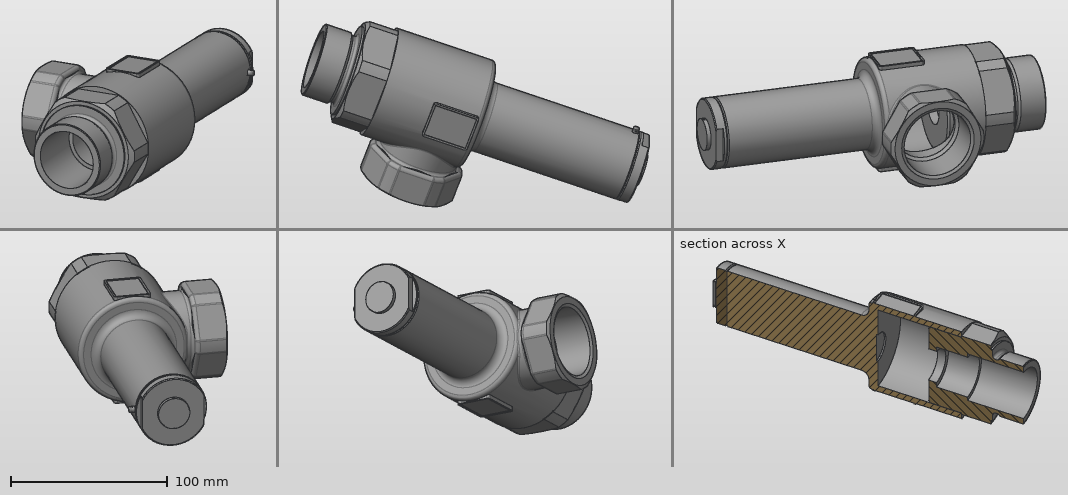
import cadquery as cq
import math


inlet_end_y = -85.0
thread_start_y = -68.0
collar_end_y = -62.8
hex_end_y = -61.5
joint_y = -40.5
nozzle_top_y = -16.5
chamber_top_y = 19.7
shoulder_y = 26.5
cap_joint_y = 128.5
cap_top_y = 135.9
boss_top_y = inlet_end_y + 223.5

body_radius = 36.0
shoulder_round = 3.0
tube_radius = 23.0
tube_fillet = 5.1
joint_chamfer = 0.78
chamber_radius = 31.0
chamber_recess_radius = 10.7
chamber_recess_depth = 1.1

outlet_face_x = -61.0
outlet_hex_length = 21.2
outlet_hex_flats = 58.0
outlet_corner_radius = 31.3
outlet_corner_blend = 2.5
outlet_rear_round = 2.7
outlet_chamfer_radius = 28.8
outlet_chamfer_depth = 1.3
neck_radius = 26.0
neck_cove = 2.0
neck_fillet = 1.1
outlet_bore_radius = 22.4
outlet_bore_depth = 25.5
outlet_mouth_radius = 24.4
outlet_mouth_depth = 1.1
outlet_port_radius = 20.45

pad_width = 24.0
pad_length = 30.6
pad_center_y = 8.0
pad_height_z = 36.55
pad_corner_radius = 1.8
pad_rim = 1.3
pad_recess = 0.5

inlet_hex_flats = 65.0
inlet_corner_radius = 35.5
inlet_chamfer_radius = 32.2
inlet_chamfer_depth = 2.0
collar_radius = 29.7
relief_radius = 22.4
relief_cove = 2.0
thread_radius = 24.0
thread_end_chamfer = 0.55
nozzle_chamfer = 1.3
inlet_bore_radius = 19.0
inlet_bore_end_y = -44.7
inlet_step_radius = 16.3
inlet_step_end_y = -22.4
throat_radius = 12.7

cap_top_chamfer = 0.7
cap_flat_x = 20.1
cap_flat_start_y = 131.0
boss_radius = 10.3
wire_hole_radius = 0.7
wire_hole_y = 137.2

pin_radius = 2.0
pin_y = 125.2
pin_root_x = 21.0
pin_tip_x = 26.5
pin_round = 1.0
pin_eye_x = 24.8


def revolved_about_y(outline):
    """Solid of revolution about the main axis from an outline of (radius, y) points."""
    return outline.close().revolve(360, (0, 0, 0), (0, 1, 0))


def cylinder_y(radius, start_y, end_y):
    return cq.Workplane("XZ", origin=(0, start_y, 0)).circle(radius).extrude(start_y - end_y)


def cylinder_x(radius, start_x, end_x):
    return cq.Workplane("YZ", origin=(start_x, 0, 0)).circle(radius).extrude(end_x - start_x)


def cylinder_z_through(radius, x, y):
    """Round cutter along Z, long enough to pass through the whole valve."""
    return cq.Workplane("XY").center(x, y).circle(radius).extrude(body_radius, both=True)


def hexagon_diameter(across_flats):
    return across_flats / math.cos(math.pi / 6)


def turned_body():
    """Body shoulder and long tube, rounded at the shoulder and chamfered at the cap joint."""
    quarter = math.cos(math.pi / 4)
    fillet_center = (tube_radius + tube_fillet, shoulder_y + tube_fillet)
    round_center = (body_radius - shoulder_round, shoulder_y - shoulder_round)
    outline = (
        cq.Workplane("XY")
        .moveTo(0, joint_y)
        .lineTo(body_radius, joint_y)
        .lineTo(body_radius, round_center[1])
        .threePointArc(
            (round_center[0] + shoulder_round * quarter, round_center[1] + shoulder_round * quarter),
            (round_center[0], shoulder_y),
        )
        .lineTo(fillet_center[0], shoulder_y)
        .threePointArc(
            (fillet_center[0] - tube_fillet * quarter, fillet_center[1] - tube_fillet * quarter),
            (tube_radius, fillet_center[1]),
        )
        .lineTo(tube_radius, cap_joint_y - joint_chamfer)
        .lineTo(tube_radius - joint_chamfer, cap_joint_y)
        .lineTo(0, cap_joint_y)
    )
    return revolved_about_y(outline)


def outlet_hex():
    """Outlet hexagon with turned corners, a rounded rear edge and a chamfered face."""
    face = cq.Workplane("YZ", origin=(outlet_face_x, 0, 0))
    blank = face.polygon(6, hexagon_diameter(outlet_hex_flats)).extrude(outlet_hex_length)
    blank = blank.intersect(face.circle(outlet_corner_radius).extrude(outlet_hex_length))
    blank = blank.edges("|X").fillet(outlet_corner_blend)
    blank = blank.faces(">X").edges().fillet(outlet_rear_round)
    chamfer_slope = (outlet_corner_radius - outlet_chamfer_radius) / outlet_chamfer_depth
    envelope = (
        cq.Workplane("XY")
        .moveTo(outlet_face_x, 0)
        .lineTo(outlet_face_x, outlet_chamfer_radius)
        .lineTo(outlet_face_x + outlet_hex_length, outlet_chamfer_radius + chamfer_slope * outlet_hex_length)
        .lineTo(outlet_face_x + outlet_hex_length, 0)
        .close()
        .revolve(360, (0, 0, 0), (1, 0, 0))
    )
    return blank.intersect(envelope)


def outlet_cove():
    """Concave ring between the rear of the outlet hexagon and the neck, trimmed at the flats."""
    rear_x = outlet_face_x + outlet_hex_length
    quarter = neck_cove * (1 - math.cos(math.pi / 4))
    ring = (
        cq.Workplane("XY")
        .moveTo(rear_x, 0)
        .lineTo(rear_x, neck_radius + neck_cove)
        .threePointArc((rear_x + quarter, neck_radius + quarter), (rear_x + neck_cove, neck_radius))
        .lineTo(rear_x + neck_cove, 0)
        .close()
        .revolve(360, (0, 0, 0), (1, 0, 0))
    )
    rear_flats = outlet_hex_flats - 2 * outlet_rear_round
    trim = (
        cq.Workplane("YZ", origin=(rear_x, 0, 0))
        .polygon(6, hexagon_diameter(rear_flats))
        .extrude(neck_cove)
    )
    return ring.intersect(trim)


def outlet_bore():
    """Bore with a chamfered mouth, coned down to the port into the chamber."""
    bore_end_x = outlet_face_x + outlet_bore_depth
    cone_end_x = bore_end_x + outlet_bore_radius - outlet_port_radius
    return (
        cq.Workplane("XY")
        .moveTo(outlet_face_x, 0)
        .lineTo(outlet_face_x, outlet_mouth_radius)
        .lineTo(outlet_face_x + outlet_mouth_depth, outlet_bore_radius)
        .lineTo(bore_end_x, outlet_bore_radius)
        .lineTo(cone_end_x, outlet_port_radius)
        .lineTo(0, outlet_port_radius)
        .lineTo(0, 0)
        .close()
        .revolve(360, (0, 0, 0), (1, 0, 0))
    )


def name_pad():
    """Flat pad on the +Z side of the body with a shallow recess inside its rim."""
    pad = (
        cq.Workplane("XY", origin=(0, pad_center_y, chamber_radius))
        .rect(pad_width, pad_length)
        .extrude(pad_height_z - chamber_radius)
        .edges("|Z")
        .fillet(pad_corner_radius)
    )
    recess = (
        cq.Workplane("XY", origin=(0, pad_center_y, pad_height_z - pad_recess))
        .rect(pad_width - 2 * pad_rim, pad_length - 2 * pad_rim)
        .extrude(pad_recess)
    )
    return pad.cut(recess)


def build_housing():
    neck = cylinder_x(neck_radius, outlet_face_x + outlet_hex_length, 0)
    housing = turned_body().union(neck)
    housing = housing.edges("%BSPLINE").fillet(neck_fillet)
    housing = housing.union(outlet_hex()).union(outlet_cove())
    top_pad = name_pad()
    housing = housing.union(top_pad).union(top_pad.mirror("XY"))
    housing = housing.cut(cylinder_y(chamber_radius, joint_y, chamber_top_y))
    recess_top_y = chamber_top_y + chamber_recess_depth
    housing = housing.cut(cylinder_y(chamber_recess_radius, chamber_top_y, recess_top_y))
    housing = housing.cut(outlet_bore())
    return housing.cut(pin_blank())


def build_inlet_fitting():
    hex_face = cq.Workplane("XZ", origin=(0, joint_y, 0))
    hex_length = joint_y - hex_end_y
    hexagon = hex_face.polygon(6, hexagon_diameter(inlet_hex_flats)).extrude(hex_length)
    envelope = revolved_about_y(
        cq.Workplane("XY")
        .moveTo(0, joint_y)
        .lineTo(inlet_corner_radius, joint_y)
        .lineTo(inlet_corner_radius, hex_end_y + inlet_chamfer_depth)
        .lineTo(inlet_chamfer_radius, hex_end_y)
        .lineTo(0, hex_end_y)
    )
    spigot = revolved_about_y(
        cq.Workplane("XY")
        .moveTo(0, joint_y)
        .lineTo(chamber_radius, joint_y)
        .lineTo(chamber_radius, nozzle_top_y - nozzle_chamfer)
        .lineTo(chamber_radius - nozzle_chamfer, nozzle_top_y)
        .lineTo(0, nozzle_top_y)
    )
    quarter = relief_cove * (1 - math.cos(math.pi / 4))
    threaded_end = revolved_about_y(
        cq.Workplane("XY")
        .moveTo(0, hex_end_y)
        .lineTo(collar_radius, hex_end_y)
        .lineTo(collar_radius, collar_end_y)
        .lineTo(relief_radius + relief_cove, collar_end_y)
        .threePointArc(
            (relief_radius + quarter, collar_end_y - quarter),
            (relief_radius, collar_end_y - relief_cove),
        )
        .lineTo(relief_radius, thread_start_y + thread_radius - relief_radius)
        .lineTo(thread_radius, thread_start_y)
        .lineTo(thread_radius, inlet_end_y + thread_end_chamfer)
        .lineTo(thread_radius - thread_end_chamfer, inlet_end_y)
        .lineTo(0, inlet_end_y)
    )
    bore = (
        cylinder_y(inlet_bore_radius, inlet_end_y, inlet_bore_end_y)
        .union(cylinder_y(inlet_step_radius, inlet_end_y, inlet_step_end_y))
        .union(cylinder_y(throat_radius, inlet_end_y, nozzle_top_y))
    )
    return hexagon.intersect(envelope).union(spigot).union(threaded_end).cut(bore)


def build_cap():
    cap = revolved_about_y(
        cq.Workplane("XY")
        .moveTo(0, cap_joint_y)
        .lineTo(tube_radius - joint_chamfer, cap_joint_y)
        .lineTo(tube_radius, cap_joint_y + joint_chamfer)
        .lineTo(tube_radius, cap_top_y - cap_top_chamfer)
        .lineTo(tube_radius - cap_top_chamfer, cap_top_y)
        .lineTo(boss_radius, cap_top_y)
        .lineTo(boss_radius, boss_top_y)
        .lineTo(0, boss_top_y)
    )
    flat_depth = tube_radius - cap_flat_x
    flat_height = cap_top_y - cap_flat_start_y
    for side in (-1, 1):
        flat_cut = cq.Workplane("XY").box(flat_depth, flat_height, 2 * tube_radius).translate(
            (side * (cap_flat_x + flat_depth / 2), cap_flat_start_y + flat_height / 2, 0)
        )
        cap = cap.cut(flat_cut)
    return cap.cut(cylinder_z_through(wire_hole_radius, 0, wire_hole_y))


def pin_blank():
    return (
        cylinder_x(pin_radius, pin_root_x, pin_tip_x)
        .faces(">X")
        .edges()
        .fillet(pin_round)
        .translate((0, pin_y, 0))
    )


def build_seal_pin():
    return pin_blank().cut(cylinder_z_through(wire_hole_radius, pin_eye_x, pin_y))


housing = build_housing()
inlet_fitting = build_inlet_fitting()
cap = build_cap()
seal_pin = build_seal_pin()

result = cq.Compound.makeCompound(
    [housing.val(), inlet_fitting.val(), cap.val(), seal_pin.val()]
)